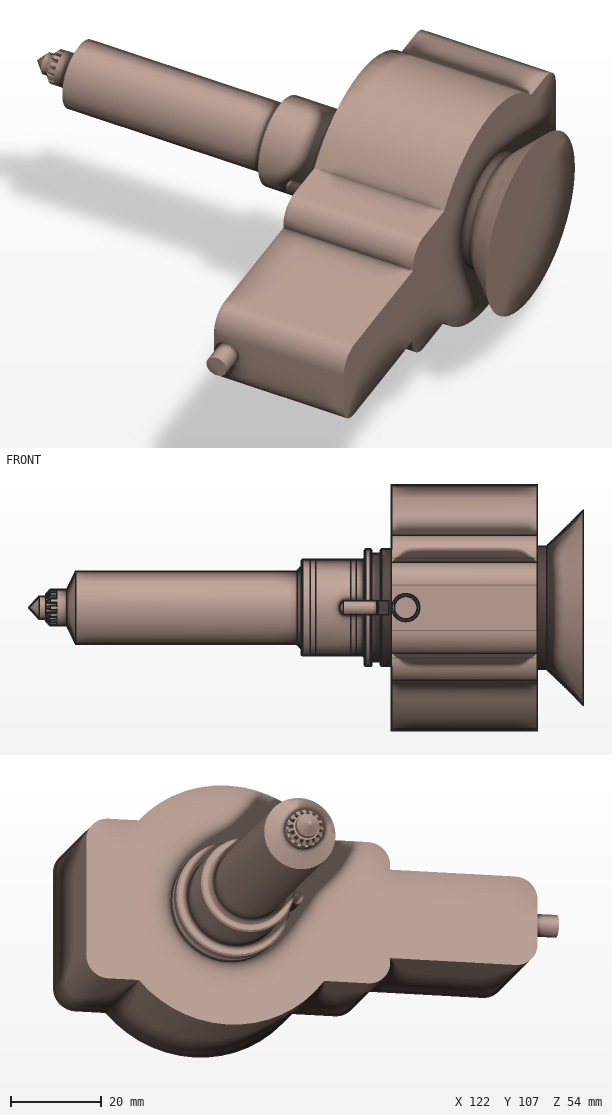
import cadquery as cq
import math


housing_length = 32.1
drum_diameter = 54.0
back_reach = 32.0
back_half_height = 18.0
step_reach = 36.7
step_half_height = 16.0
arm_reach = 70.0
arm_half_height = 10.0
corner_radius = 5.0

cable_pin_diameter = 5.0
cable_pin_protrusion = 5.0
cable_bore_diameter = 6.1
cable_bore_depth = 20.0
cable_bore_wall = 0.1
cable_x = cable_bore_wall + cable_bore_diameter / 2

neck_length = 2.1
neck_radius = 13.5
horn_length = 8.0
horn_radius = 21.5

sleeve_front_x = -19.9
sleeve_radius = 10.6
flange_front_x = -6.0
flange_back_x = -4.3
rear_flange_x = -2.5
flange_radius = 12.9
neck_groove_radius = 12.0
edge_chamfer = 0.4
sleeve_root_fillet = 0.4

seal_width = 1.2
seal_depth = 1.1
seal_fronts_x = [-17.8, -8.9]

locating_pin_diameter = 3.0
locating_pin_offset = 13.0
locating_pin_front_x = -11.3
locating_pin_back_x = -2.8
locating_front_dome = 0.7
locating_back_dome = 0.4
keyway_end_x = -0.6

barrel_front_x = -69.4
barrel_radius = 8.0
barrel_cone_length = 2.0
barrel_flare_x = -20.7
barrel_flare_radius = 9.0

tip_length = 8.4
tip_root_x = barrel_front_x - barrel_cone_length
tip_apex_x = tip_root_x - tip_length
nose_length = 2.3
nose_radius = 2.6
collar_distance = 3.8
collar_front_radius = 2.9
collar_radius = 4.0
collar_cone_length = 1.0
tip_slot_count = 15
tip_slot_end = 6.2
tip_slot_depth = collar_radius - collar_front_radius


def turned(profile):
    """Revolve a closed outline of (x, radius) points about the X axis."""
    return cq.Workplane("XY").polyline(profile).close().revolve(360, (0, 0, 0), (1, 0, 0))


def x_cylinder(radius, start_x, end_x):
    """Solid cylinder along X."""
    return cq.Workplane("YZ", origin=(start_x, 0, 0)).circle(radius).extrude(end_x - start_x)


def y_cylinder(diameter, start_y, length):
    """Solid cylinder along +Y, on the axis of the cable bore."""
    plane = cq.Plane(origin=(cable_x, start_y, 0), xDir=(1, 0, 0), normal=(0, 1, 0))
    return cq.Workplane(plane).circle(diameter / 2).extrude(length)


def housing_block(reach, half_height):
    """Block from the axis to the signed Y reach, with its two outer edges rounded."""
    block = cq.Workplane("XY").box(
        housing_length, abs(reach), 2 * half_height, centered=(False, True, True)
    )
    outer_side = ">Y" if reach > 0 else "<Y"
    return block.faces(outer_side).edges("|X").fillet(corner_radius).translate((0, reach / 2, 0))


def make_housing():
    drum = x_cylinder(drum_diameter / 2, 0, housing_length)
    back = housing_block(back_reach, back_half_height)
    step = housing_block(-step_reach, step_half_height)
    arm = housing_block(-arm_reach, arm_half_height)
    cable_bore = y_cylinder(cable_bore_diameter, -arm_reach, cable_bore_depth)
    return drum.union(back).union(step).union(arm).cut(cable_bore)


def make_cable_pin():
    length = cable_bore_depth + cable_pin_protrusion
    return y_cylinder(cable_pin_diameter, -arm_reach - cable_pin_protrusion, length)


def make_horn():
    neck_end_x = housing_length + neck_length
    horn_end_x = neck_end_x + horn_length
    return turned([
        (housing_length, 0),
        (housing_length, neck_radius),
        (neck_end_x, neck_radius),
        (horn_end_x, horn_radius),
        (horn_end_x, 0),
    ])


def make_seal(front_x):
    outer = x_cylinder(sleeve_radius, front_x, front_x + seal_width)
    inner = x_cylinder(sleeve_radius - seal_depth, front_x, front_x + seal_width)
    return outer.cut(inner)


def make_stem(seals):
    sleeve = x_cylinder(sleeve_radius, sleeve_front_x, flange_front_x)
    sleeve = sleeve.faces("<X").edges().chamfer(edge_chamfer)
    front_flange = x_cylinder(flange_radius, flange_front_x, flange_back_x).edges().chamfer(edge_chamfer)
    groove_core = x_cylinder(neck_groove_radius, flange_back_x, rear_flange_x)
    rear_flange = x_cylinder(flange_radius, rear_flange_x, 0).faces("<X").edges().chamfer(edge_chamfer)
    stem = sleeve.union(front_flange).union(groove_core).union(rear_flange)

    reach = edge_chamfer / 2
    corner_centre = cq.selectors.BoxSelector(
        (flange_front_x - reach, -reach, -reach), (flange_front_x + reach, reach, reach)
    )
    corner = stem.edges(corner_centre).edges(cq.selectors.RadiusNthSelector(0))
    stem = corner.fillet(sleeve_root_fillet)

    keyway_floor_y = -locating_pin_offset + locating_pin_diameter / 2
    keyway = cq.Workplane("XY").box(
        keyway_end_x - flange_front_x,
        flange_radius,
        locating_pin_diameter,
        centered=(False, False, True),
    ).translate((flange_front_x, keyway_floor_y - flange_radius, 0))
    stem = stem.cut(keyway)

    for seal in seals:
        stem = stem.cut(seal)
    return stem


def dome_midpoint(rim_x, height, rim_radius):
    """Point halfway along a spherical dome, from its rim to its crown at rim_x + height."""
    rise = abs(height)
    sphere_radius = (rim_radius**2 + rise**2) / (2 * rise)
    half_angle = math.asin(rim_radius / sphere_radius) / 2
    drop = sphere_radius * (1 - math.cos(half_angle))
    midpoint_x = rim_x + math.copysign(rise - drop, height)
    return (midpoint_x, sphere_radius * math.sin(half_angle))


def make_locating_pin():
    radius = locating_pin_diameter / 2
    shank_front_x = locating_pin_front_x + locating_front_dome
    shank_back_x = locating_pin_back_x - locating_back_dome
    outline = (
        cq.Workplane("XY")
        .moveTo(locating_pin_front_x, 0)
        .threePointArc(dome_midpoint(shank_front_x, -locating_front_dome, radius), (shank_front_x, radius))
        .lineTo(shank_back_x, radius)
        .threePointArc(dome_midpoint(shank_back_x, locating_back_dome, radius), (locating_pin_back_x, 0))
        .close()
    )
    pin = outline.revolve(360, (0, 0, 0), (1, 0, 0))
    return pin.translate((0, -locating_pin_offset, 0))


def make_barrel():
    return turned([
        (tip_root_x, 0),
        (tip_root_x, collar_radius),
        (barrel_front_x, barrel_radius),
        (barrel_flare_x, barrel_radius),
        (sleeve_front_x, barrel_flare_radius),
        (sleeve_front_x, 0),
    ])


def make_tip():
    collar_x = tip_apex_x + collar_distance
    tip = turned([
        (tip_apex_x, 0),
        (tip_apex_x + nose_length, nose_radius),
        (collar_x, nose_radius),
        (collar_x, collar_front_radius),
        (collar_x + collar_cone_length, collar_radius),
        (tip_root_x, collar_radius),
        (tip_root_x, 0),
    ])

    slot_pitch = 360 / tip_slot_count
    slot_length = tip_slot_end - collar_distance
    slot_width = 2 * collar_radius * math.sin(math.radians(slot_pitch / 4))
    slot = cq.Workplane("XY").box(
        slot_length, 2 * tip_slot_depth, slot_width, centered=(False, True, True)
    ).translate((collar_x, collar_radius, 0))
    for i in range(tip_slot_count):
        tip = tip.cut(slot.rotate((0, 0, 0), (1, 0, 0), i * slot_pitch))
    return tip


housing = make_housing()
cable_pin = make_cable_pin()
horn = make_horn()
seals = [make_seal(front_x) for front_x in seal_fronts_x]
stem = make_stem(seals)
locating_pin = make_locating_pin()
barrel = make_barrel()
tip = make_tip()

result = cq.Compound.makeCompound([
    housing.val(),
    cable_pin.val(),
    horn.val(),
    *[seal.val() for seal in seals],
    stem.val(),
    locating_pin.val(),
    barrel.val(),
    tip.val(),
])